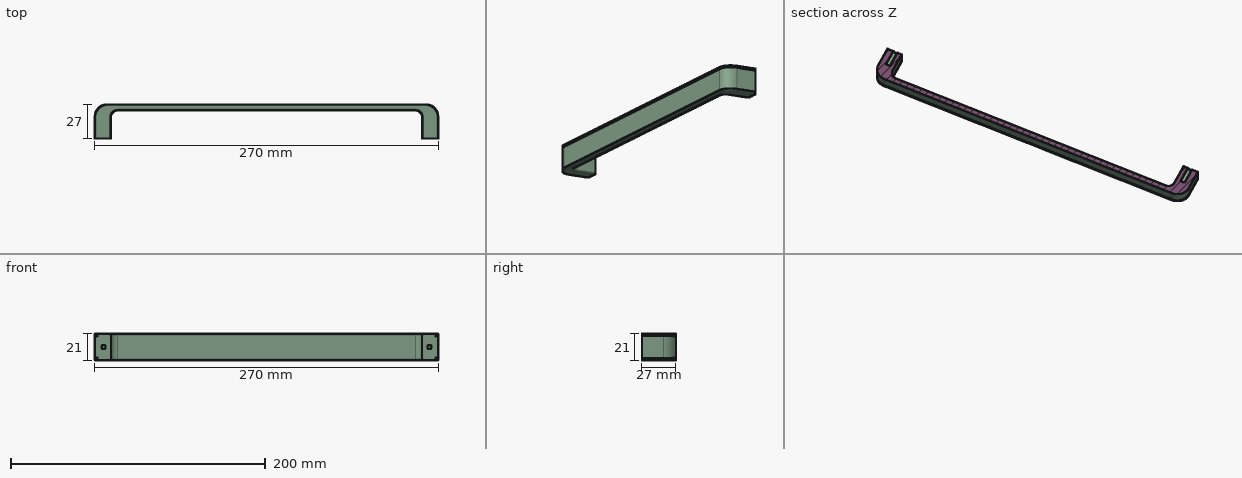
import cadquery as cq

length = 270.0
depth = 27.0
height = 21.0
leg_width = 12.7
grip_thickness = 4.9
outer_radius = 10.0
inner_radius = 5.0
rim_radius = 1.0

hole_spacing = 256.0
hole_diameter = 3.2
hole_depth = 13.5

slit_width = 0.3
slit_depth = 2.0
slit_from_rim = 1.78

foot_y = -depth / 2
back_y = depth / 2


def rounded_block(size_x, front_y, rear_y, corner_radius):
    """Full-height block centred in X, with its two rear corners rounded."""
    return (
        cq.Workplane("XY")
        .center(0, (front_y + rear_y) / 2)
        .rect(size_x, rear_y - front_y)
        .extrude(height / 2, both=True)
        .edges("|Z and >Y")
        .fillet(corner_radius)
    )


def handle_body():
    """U-shaped handle with softened upper and lower rims."""
    outer = rounded_block(length, foot_y, back_y, outer_radius)
    opening = rounded_block(
        length - 2 * leg_width, foot_y, back_y - grip_thickness, inner_radius
    )
    return outer.cut(opening).edges("(>Z or <Z) and (not <Y)").fillet(rim_radius)


def outer_slits():
    """Fine slits following the outer side, one near each rim, open at the feet."""
    outer = rounded_block(length, foot_y, back_y, outer_radius)
    core = rounded_block(
        length - 2 * slit_depth, foot_y, back_y - slit_depth, outer_radius - slit_depth
    )
    slit_height = height / 2 - slit_from_rim
    slab = cq.Workplane("XY").box(length, depth, slit_width)
    slabs = slab.translate((0, 0, slit_height)).union(slab.translate((0, 0, -slit_height)))
    return outer.cut(core).intersect(slabs)


def mounting_holes():
    """Blind bores running into the handle from the end of each foot."""
    return (
        cq.Workplane("XZ", origin=(0, foot_y, 0))
        .pushPoints([(side * hole_spacing / 2, 0) for side in (-1, 1)])
        .circle(hole_diameter / 2)
        .extrude(-hole_depth)
    )


result = handle_body().cut(outer_slits()).cut(mounting_holes())